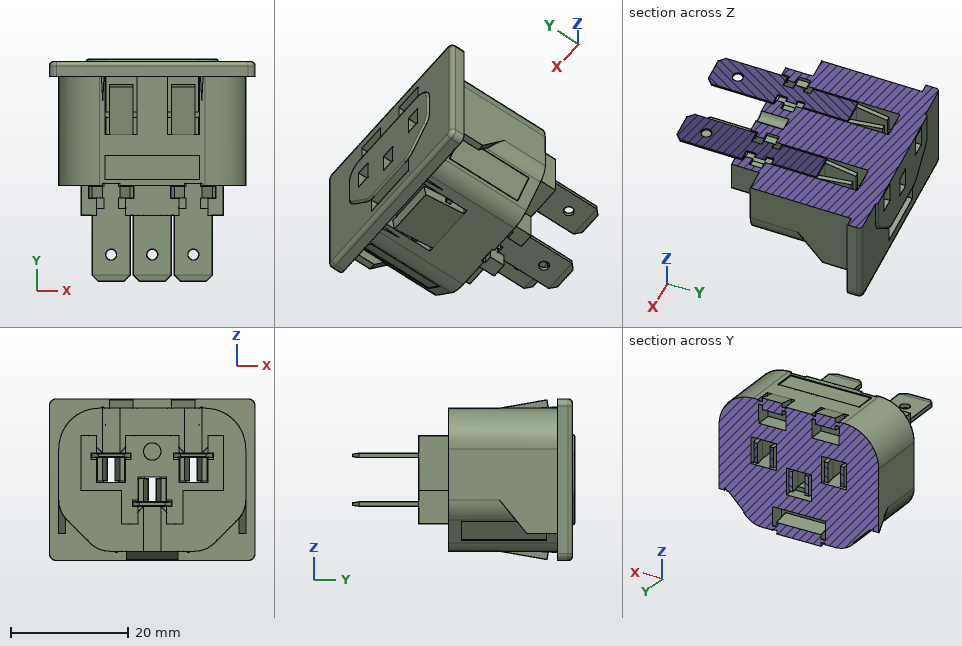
import cadquery as cq
import math


OVERALL_LENGTH = 37.83

FLANGE_WIDTH = 35.05
FLANGE_HEIGHT = 27.58
FLANGE_THICKNESS = 2.6
FLANGE_CORNER_R = 1.25
FLANGE_EDGE_R = 0.8
PAD_FRONT_Y = 3.0
PAD_HALF_WIDTH = 11.2
PAD_HALF_HEIGHT = 7.68
PAD_CORNER_R = 3.3
PAD_BEVEL = 5.55
PAD_BEVEL_R = 3.0
PAD_EDGE_R = 0.37

BODY_HALF_WIDTH = 15.93
BODY_HALF_HEIGHT = 12.2
BODY_DEPTH = 18.55
BODY_CORNER_R = 6.92
BODY_BEVEL = 6.75
BODY_BEVEL_R = 4.73
RECESS_DEPTH = 0.2
TOP_RECESS_HALF_WIDTH = 8.05
TOP_RECESS_Y = (-17.5, -13.4)
SIDE_RECESS_Y = (-16.35, -1.85)
SIDE_RECESS_Z = (-10.33, -7.1)

FIN_THICKNESS = 1.17
FIN_TOP_Z = -3.48
FIN_BOTTOM_Z = -9.15
FIN_LONG_Y = -9.85
FIN_SHORT_Y = -5.2

WINDOW_FLOOR_Z = PAD_HALF_HEIGHT
FLANGE_OPENING_TOP_Z = 11.12
WINDOW_REAR_Y = -9.87
WINDOW_OUTER_X = 8.05
WINDOW_INNER_X = 2.6
WINDOW_DRAFT = 0.15
LATCH_OUTER_X = 7.25
LATCH_INNER_X = 3.3
BOTTOM_LATCH_HALF_WIDTH = 4.43
BOTTOM_WINDOW_HALF_WIDTH = 5.22
LATCH_RISE = 1.45
LATCH_TIP_Y = -1.75
LATCH_THICKNESS = 2.27
BRIDGE_Y = (-6.92, -5.98)
BRIDGE_DROP = 0.2
BRIDGE_THICKNESS = 0.75

RIB_R = 0.23
RIB_LENGTH = 4.0
TOP_RIB_X = 8.45
BOTTOM_RIB_X = 6.13

BLOCK_REAR_Y = -23.6
BLOCK_HALF_WIDTH = 12.1
BLOCK_HALF_HEIGHT = 7.53
BLOCK_STEP_Z = -1.85
BLOCK_LOWER_HALF_WIDTH = 5.22
BLOCK_HOLE_R = 1.48
BLOCK_HOLE_Z = 4.8

TERMINAL_PITCH = 14.0
SHEET = 0.8
BLADE_TOP_Z = 4.55
BLADE_HALF_WIDTH = 3.25
BLADE_START_Y = -22.45
BLADE_TIP_Y = PAD_FRONT_Y - OVERALL_LENGTH
BLADE_TIP_CHAMFER = 1.05
BLADE_TIP_THINNING = 0.17
BLADE_HOLE_R = 0.9
BLADE_HOLE_Y = -30.3
NECK_HALF_WIDTH = 1.2
EAR_BEND_X = 1.48
EAR_TIP_X = 3.8
EAR_Y = (-20.65, -18.7)
CONTACT_HALF_WIDTH = 2.3
CONTACT_REAR_Y = -17.4
CONTACT_BEND_Y = -9.08
CONTACT_TIP_Y = -3.03
CONTACT_TIP_HALF_GAP = 0.65
CONTACT_BOTTOM_Z = -0.2

POCKET_HALF_WIDTH = 2.45
POCKET_BOTTOM_Z = -0.45
POCKET_FRONT_Y = -1.5
BLADE_SLOT_HALF_WIDTH = 3.4
BLADE_SLOT_Z = (3.45, 4.58)
BLADE_SLOT_END_Y = -22.25
EAR_CAVITY_HALF_WIDTH = 3.9
EAR_CAVITY_REAR_Y = -20.73
PIN_SLOT_HALF_WIDTH = 1.3
GROOVE_HALF_WIDTH = 1.48
GROOVE_DEPTH = 0.38

BLADE_BOTTOM_Z = BLADE_TOP_Z - SHEET


def box(x_range, y_range, z_range):
    """Axis-aligned box between the given limits."""
    size = [high - low for low, high in (x_range, y_range, z_range)]
    corner = (x_range[0], y_range[0], z_range[0])
    return cq.Workplane("XY").box(*size, centered=False).translate(corner)


def centred_box(half_width, y_range, z_range):
    """Box that is symmetric about the YZ plane."""
    return box((-half_width, half_width), y_range, z_range)


def xz_prism(points, y_range):
    """Closed XZ outline extruded over a Y range."""
    depth = y_range[1] - y_range[0]
    return cq.Workplane("XZ", origin=(0, y_range[1], 0)).polyline(points).close().extrude(depth)


def yz_prism(points, x_range):
    """Closed YZ outline extruded over an X range."""
    width = x_range[1] - x_range[0]
    return cq.Workplane("YZ", origin=(x_range[0], 0, 0)).polyline(points).close().extrude(width)


def mirrored_pair(shape):
    """The shape together with its mirror image across the YZ plane."""
    return shape.union(shape.mirror("YZ"))


def turned_over(shape):
    """The shape turned half a turn about the Y axis."""
    return shape.rotate((0, 0, 0), (0, 1, 0), 180)


def at_terminals(shape):
    """Copies of an upright shape at the two line positions and, turned over, at earth."""
    line_copies = [shape.translate((side * TERMINAL_PITCH / 2, 0, 0)) for side in (-1, 1)]
    return line_copies + [turned_over(shape)]


def outlet_prism(half_width, half_height, corner_r, bevel, bevel_r, y_range):
    """Outlet-shaped prism: round upper corners and bevelled, softened lower corners."""
    points = [
        (-half_width, half_height),
        (half_width, half_height),
        (half_width, bevel - half_height),
        (half_width - bevel, -half_height),
        (bevel - half_width, -half_height),
        (-half_width, bevel - half_height),
    ]
    prism = xz_prism(points, y_range)
    prism = prism.edges("|Y and >Z").fillet(corner_r)
    lower = cq.selectors.BoxSelector(
        (-half_width - 0.38, y_range[0] - 0.38, -half_height - 0.38),
        (half_width + 0.38, y_range[1] + 0.38, bevel - half_height + 0.38),
    )
    return prism.edges("|Y").edges(lower).fillet(bevel_r)


def make_flange():
    flange = centred_box(FLANGE_WIDTH / 2, (0, FLANGE_THICKNESS), (-FLANGE_HEIGHT / 2, FLANGE_HEIGHT / 2))
    return flange.edges("|Y").fillet(FLANGE_CORNER_R).faces(">Y").edges().fillet(FLANGE_EDGE_R)


def make_pad():
    pad = outlet_prism(
        PAD_HALF_WIDTH, PAD_HALF_HEIGHT, PAD_CORNER_R, PAD_BEVEL, PAD_BEVEL_R, (0, PAD_FRONT_Y)
    )
    return pad.faces(">Y").edges().fillet(PAD_EDGE_R)


def side_recess():
    """Shallow label recess in the left bevelled corner face, cut square to that face."""
    face_sum = BODY_BEVEL - BODY_HALF_WIDTH - BODY_HALF_HEIGHT
    step = RECESS_DEPTH / math.sqrt(2)
    low, high = SIDE_RECESS_Z
    outline = []
    for z, offset in ((low, -step), (high, -step), (high, step), (low, step)):
        outline.append((face_sum - z + offset, z + offset))
    return xz_prism(outline, SIDE_RECESS_Y)


def make_body():
    body = outlet_prism(
        BODY_HALF_WIDTH, BODY_HALF_HEIGHT, BODY_CORNER_R, BODY_BEVEL, BODY_BEVEL_R, (-BODY_DEPTH, 0)
    )
    top_recess = centred_box(
        TOP_RECESS_HALF_WIDTH, TOP_RECESS_Y, (BODY_HALF_HEIGHT - RECESS_DEPTH, BODY_HALF_HEIGHT)
    )
    return body.cut(top_recess).cut(mirrored_pair(side_recess()))


def make_fins():
    """Thin fins that carry the flat sides down beside the bevelled corners."""
    outline = [
        (0, FIN_TOP_Z),
        (FIN_LONG_Y, FIN_TOP_Z),
        (FIN_SHORT_Y, FIN_BOTTOM_Z),
        (0, FIN_BOTTOM_Z),
    ]
    return mirrored_pair(yz_prism(outline, (-BODY_HALF_WIDTH, FIN_THICKNESS - BODY_HALF_WIDTH)))


def make_block():
    """Stepped block that carries the terminals."""
    y_range = (BLOCK_REAR_Y, -BODY_DEPTH)
    upper = centred_box(BLOCK_HALF_WIDTH, y_range, (BLOCK_STEP_Z, BLOCK_HALF_HEIGHT))
    lower = centred_box(BLOCK_LOWER_HALF_WIDTH, y_range, (-BLOCK_HALF_HEIGHT, BLOCK_STEP_Z))
    depth = -BODY_DEPTH - BLOCK_REAR_Y
    hole = cq.Workplane("XZ", origin=(0, -BODY_DEPTH, BLOCK_HOLE_Z)).circle(BLOCK_HOLE_R).extrude(depth)
    return upper.union(lower).cut(hole)


def make_latch(x_range):
    """Cantilever that rises from the rear wall of its window towards the flange."""
    slope = math.atan2(LATCH_RISE, LATCH_TIP_Y - WINDOW_REAR_Y)
    tip_z = BODY_HALF_HEIGHT + LATCH_RISE
    outline = [
        (WINDOW_REAR_Y, BODY_HALF_HEIGHT),
        (LATCH_TIP_Y, tip_z),
        (LATCH_TIP_Y + LATCH_THICKNESS * math.sin(slope), tip_z - LATCH_THICKNESS * math.cos(slope)),
        (WINDOW_REAR_Y, BODY_HALF_HEIGHT - LATCH_THICKNESS / math.cos(slope)),
    ]
    return yz_prism(outline, x_range)


def make_bridge(x_range):
    """Thin web across a window that ties the latch to the window's side walls."""
    top = BODY_HALF_HEIGHT - BRIDGE_DROP
    return box(x_range, BRIDGE_Y, (top - BRIDGE_THICKNESS, top))


def top_window():
    """Right upper window; its outer wall leans in with depth."""
    outline = [
        (WINDOW_INNER_X, BODY_HALF_HEIGHT),
        (WINDOW_OUTER_X, BODY_HALF_HEIGHT),
        (WINDOW_OUTER_X - WINDOW_DRAFT, WINDOW_FLOOR_Z),
        (WINDOW_INNER_X, WINDOW_FLOOR_Z),
    ]
    return xz_prism(outline, (WINDOW_REAR_Y, 0))


def flange_opening(x_range):
    """Opening through the flange in front of a window, from its floor to below the body's top."""
    return box(x_range, (0, FLANGE_THICKNESS), (WINDOW_FLOOR_Z, FLANGE_OPENING_TOP_Z))


def add_latches(housing):
    """Two latches on the top and a wide one on the bottom, each in its own window."""
    top_opening = flange_opening((WINDOW_INNER_X, WINDOW_OUTER_X - WINDOW_DRAFT))
    bottom_span = (-BOTTOM_WINDOW_HALF_WIDTH, BOTTOM_WINDOW_HALF_WIDTH)
    bottom_window = box(bottom_span, (WINDOW_REAR_Y, 0), (WINDOW_FLOOR_Z, BODY_HALF_HEIGHT))
    bottom_window = bottom_window.union(flange_opening(bottom_span))
    housing = housing.cut(mirrored_pair(top_window().union(top_opening))).cut(turned_over(bottom_window))

    top_latch = make_latch((LATCH_INNER_X, LATCH_OUTER_X))
    top_latch = top_latch.union(make_bridge((WINDOW_INNER_X, WINDOW_OUTER_X)))
    bottom_latch = make_latch((-BOTTOM_LATCH_HALF_WIDTH, BOTTOM_LATCH_HALF_WIDTH))
    bottom_latch = bottom_latch.union(make_bridge(bottom_span))
    return housing.union(mirrored_pair(top_latch)).union(turned_over(bottom_latch))


def add_crush_ribs(housing):
    """Half-cones that are widest at the flange and fade out towards the rear."""
    for rib_x, face_z in ((TOP_RIB_X, BODY_HALF_HEIGHT), (BOTTOM_RIB_X, -BODY_HALF_HEIGHT)):
        for side in (-1, 1):
            base = cq.Vector(side * rib_x, 0, face_z)
            cone = cq.Solid.makeCone(RIB_R, 0, RIB_LENGTH, pnt=base, dir=cq.Vector(0, -1, 0))
            housing = housing.union(cq.Workplane(obj=cone))
    return housing


def terminal_cavity():
    """Everything removed from the housing for one upright terminal at X = 0."""
    block_y = (BLOCK_REAR_Y, -BODY_DEPTH)
    slot_low, slot_high = BLADE_SLOT_Z
    open_pocket = centred_box(POCKET_HALF_WIDTH, block_y, (POCKET_BOTTOM_Z, BLOCK_HALF_HEIGHT))
    contact_pocket = centred_box(
        POCKET_HALF_WIDTH, (-BODY_DEPTH, POCKET_FRONT_Y), (POCKET_BOTTOM_Z, slot_high)
    )
    blade_slot = centred_box(BLADE_SLOT_HALF_WIDTH, (BLOCK_REAR_Y, BLADE_SLOT_END_Y), BLADE_SLOT_Z)
    ear_cavity = centred_box(
        EAR_CAVITY_HALF_WIDTH, (EAR_CAVITY_REAR_Y, -BODY_DEPTH), (slot_low, BLOCK_HALF_HEIGHT)
    )
    groove = centred_box(
        GROOVE_HALF_WIDTH, (-BODY_DEPTH, GROOVE_DEPTH - BODY_DEPTH), (slot_low, BODY_HALF_HEIGHT)
    )
    pin_slot = centred_box(
        PIN_SLOT_HALF_WIDTH, (POCKET_FRONT_Y, PAD_FRONT_Y), (POCKET_BOTTOM_Z, BLADE_BOTTOM_Z)
    )
    cavity = open_pocket
    for part in (contact_pocket, blade_slot, ear_cavity, groove, pin_slot):
        cavity = cavity.union(part)
    return cavity


def make_housing():
    housing = make_flange().union(make_pad()).union(make_body())
    housing = add_latches(housing).union(make_fins()).union(make_block())
    housing = add_crush_ribs(housing)
    for cavity in at_terminals(terminal_cavity()):
        housing = housing.cut(cavity)
    return housing


def make_blade():
    """Flat tab with clipped corners, a thinned tip and a cross hole."""
    blade = centred_box(
        BLADE_HALF_WIDTH, (BLADE_TIP_Y, BLADE_START_Y), (BLADE_BOTTOM_Z, BLADE_TOP_Z)
    )
    blade = blade.edges("|Z and <Y").chamfer(BLADE_TIP_CHAMFER)
    bevel_y = BLADE_TIP_Y + BLADE_TIP_CHAMFER
    side_profile = [
        (BLADE_START_Y, BLADE_BOTTOM_Z),
        (BLADE_START_Y, BLADE_TOP_Z),
        (bevel_y, BLADE_TOP_Z),
        (BLADE_TIP_Y, BLADE_TOP_Z - BLADE_TIP_THINNING),
        (BLADE_TIP_Y, BLADE_BOTTOM_Z + BLADE_TIP_THINNING),
        (bevel_y, BLADE_BOTTOM_Z),
    ]
    blade = blade.intersect(yz_prism(side_profile, (-BLADE_HALF_WIDTH, BLADE_HALF_WIDTH)))
    hole = cq.Workplane("XY", origin=(0, BLADE_HOLE_Y, BLADE_BOTTOM_Z)).circle(BLADE_HOLE_R).extrude(SHEET)
    return blade.cut(hole)


def make_ears():
    """Two locking ears bent up at 45 degrees beside the neck."""
    end_run = SHEET / math.sqrt(2)
    rise = EAR_TIP_X - end_run - EAR_BEND_X
    outline = [
        (0, BLADE_BOTTOM_Z),
        (0, BLADE_TOP_Z),
        (EAR_BEND_X, BLADE_TOP_Z),
        (EAR_TIP_X - end_run, BLADE_TOP_Z + rise),
        (EAR_TIP_X, BLADE_TOP_Z + rise - end_run),
        (EAR_BEND_X + 2 * end_run - SHEET, BLADE_BOTTOM_Z),
    ]
    return mirrored_pair(xz_prism(outline, EAR_Y))


def make_contact():
    """Channel whose two legs run forward and pinch together to grip a pin."""
    base = centred_box(
        CONTACT_HALF_WIDTH, (CONTACT_REAR_Y, CONTACT_BEND_Y), (BLADE_BOTTOM_Z, BLADE_TOP_Z)
    )
    inner_x = CONTACT_HALF_WIDTH - SHEET
    leg_plan = [
        (inner_x, CONTACT_REAR_Y),
        (CONTACT_HALF_WIDTH, CONTACT_REAR_Y),
        (CONTACT_HALF_WIDTH, CONTACT_BEND_Y),
        (CONTACT_TIP_HALF_GAP + SHEET, CONTACT_TIP_Y),
        (CONTACT_TIP_HALF_GAP, CONTACT_TIP_Y),
        (inner_x, CONTACT_BEND_Y),
    ]
    leg_height = BLADE_BOTTOM_Z - CONTACT_BOTTOM_Z
    leg = cq.Workplane("XY", origin=(0, 0, CONTACT_BOTTOM_Z)).polyline(leg_plan).close().extrude(leg_height)
    return base.union(mirrored_pair(leg))


def make_terminal():
    """One upright terminal at X = 0: blade, neck, ears and contact from one sheet."""
    neck = centred_box(NECK_HALF_WIDTH, (BLADE_START_Y, CONTACT_REAR_Y), (BLADE_BOTTOM_Z, BLADE_TOP_Z))
    return make_blade().union(neck).union(make_ears()).union(make_contact())


housing = make_housing()
terminals = at_terminals(make_terminal())

result = cq.Compound.makeCompound(
    [housing.solids().val(), *[terminal.solids().val() for terminal in terminals]]
)